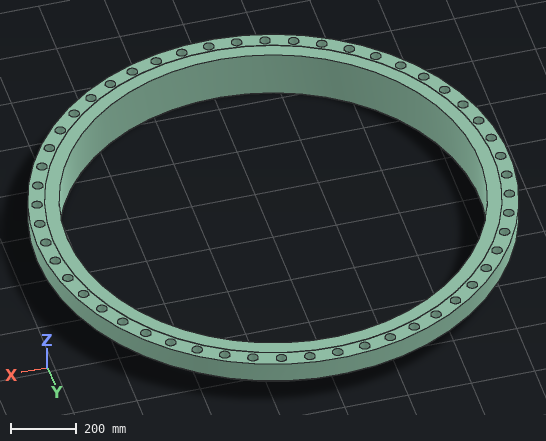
import cadquery as cq
import math

flange_diameter = 1493.84
total_height = 157.16
flange_thickness = 69.85
raised_face_diameter = 1390.65
raised_face_height = 1.6
bore_diameter = 1301.8

hub_top_diameter = 1360.0
hub_end_diameter = 1328.0
hub_fillet_radius = 11.1
weld_bevel_height = 9.0
weld_land_width = 1.6

bolt_count = 52
bolt_circle_diameter = 1436.6
bolt_hole_diameter = 31.75


def make_body():
    """Revolve the flange, raised face and hub section about Z."""
    bore_radius = bore_diameter / 2
    flange_radius = flange_diameter / 2
    face_radius = raised_face_diameter / 2
    hub_top_radius = hub_top_diameter / 2
    hub_end_radius = hub_end_diameter / 2
    flange_back = -flange_thickness
    bevel_top = weld_bevel_height - total_height

    taper_height = flange_back - bevel_top
    taper_angle = math.atan2(hub_top_radius - hub_end_radius, taper_height)
    turn_angle = math.pi / 2 - taper_angle
    tangent_length = hub_fillet_radius * math.tan(turn_angle / 2)
    fillet_center_x = hub_top_radius + tangent_length
    fillet_center_z = flange_back - hub_fillet_radius
    mid_angle = math.pi / 2 + turn_angle / 2
    fillet_mid = (
        fillet_center_x + hub_fillet_radius * math.cos(mid_angle),
        fillet_center_z + hub_fillet_radius * math.sin(mid_angle),
    )
    fillet_end = (
        hub_top_radius - tangent_length * math.sin(taper_angle),
        flange_back - tangent_length * math.cos(taper_angle),
    )

    section = (
        cq.Workplane("XZ")
        .moveTo(bore_radius, 0)
        .lineTo(face_radius, 0)
        .lineTo(face_radius, -raised_face_height)
        .lineTo(flange_radius, -raised_face_height)
        .lineTo(flange_radius, flange_back)
        .lineTo(fillet_center_x, flange_back)
        .threePointArc(fillet_mid, fillet_end)
        .lineTo(hub_end_radius, bevel_top)
        .lineTo(bore_radius + weld_land_width, -total_height)
        .lineTo(bore_radius, -total_height)
        .close()
    )
    return section.revolve(360, (0, 0, 0), (0, 1, 0))


def make_bolt_holes():
    """Through cylinders evenly spaced on the bolt circle, the first one on +X."""
    return (
        cq.Workplane("XY")
        .polarArray(bolt_circle_diameter / 2, 0, 360, bolt_count)
        .circle(bolt_hole_diameter / 2)
        .extrude(-flange_thickness)
    )


result = make_body().cut(make_bolt_holes())